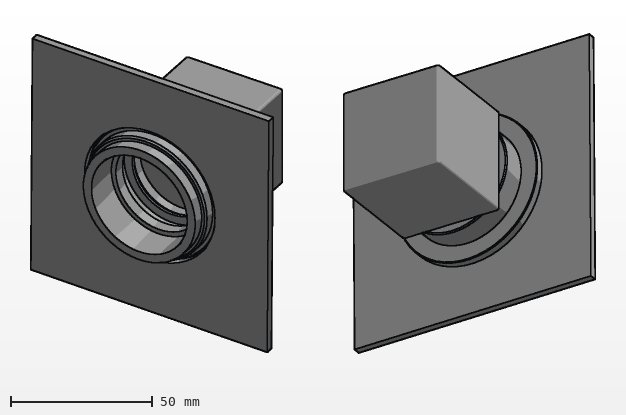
import cadquery as cq
import math


overall_width = 98.7
plate_turn = 0.4
plate_side = overall_width / (math.cos(math.radians(plate_turn)) + math.sin(math.radians(plate_turn)))
plate_front = 7.0
plate_thickness = 3.0
plate_back = plate_front + plate_thickness
plate_hole_radius = 27.0

front_rim_radius = 23.2
front_rim_length = 4.3
neck_radius = 25.0
neck_chamfer = 0.7
pilot_radius = 26.4
pilot_front = 8.8
flange_radius = 29.1
flange_thickness = 3.4
flange_back = plate_back + flange_thickness
flange_chamfer = 0.3
barrel_radius = 22.5
barrel_chamfer = 0.5
ring_length = 23.1

front_bore_radius = 19.8
front_bore_depth = 13.3
lip_radius = 18.0
lip_back = 17.8
chamber_back = 21.9
aperture_radius = 16.5

box_side = 40.0
box_gap = 1.1
box_front = ring_length + box_gap
box_back = box_front + box_side
box_edge_radius = 1.0
recess_radius = 17.1
recess_depth = 3.9
dish_depth = 0.3


def make_plate():
    """Square plate with a round clearance hole for the neck of the lens ring."""
    plate = cq.Workplane("XZ", origin=(0, plate_back, 0)).rect(plate_side, plate_side)
    plate = plate.circle(plate_hole_radius).extrude(plate_thickness)
    return plate.rotate((0, 0, 0), (0, 1, 0), plate_turn)


def make_lens_ring():
    """Flanged ring turned about the optical axis, with a stepped bore and an inner chamber."""
    profile = (
        cq.Workplane("XY")
        .moveTo(front_bore_radius, 0)
        .lineTo(front_rim_radius, 0)
        .lineTo(front_rim_radius, front_rim_length)
        .lineTo(neck_radius - neck_chamfer, front_rim_length)
        .lineTo(neck_radius, front_rim_length + neck_chamfer)
        .lineTo(neck_radius, pilot_front)
        .lineTo(pilot_radius, pilot_front)
        .lineTo(pilot_radius, plate_back)
        .lineTo(flange_radius, plate_back)
        .lineTo(flange_radius, flange_back - flange_chamfer)
        .lineTo(flange_radius - flange_chamfer, flange_back)
        .lineTo(barrel_radius, flange_back)
        .lineTo(barrel_radius, ring_length - barrel_chamfer)
        .lineTo(barrel_radius - barrel_chamfer, ring_length)
        .lineTo(aperture_radius, ring_length)
        .lineTo(aperture_radius, chamber_back)
        .lineTo(front_bore_radius, chamber_back)
        .lineTo(front_bore_radius, lip_back)
        .lineTo(lip_radius, lip_back)
        .lineTo(lip_radius, front_bore_depth)
        .lineTo(front_bore_radius, front_bore_depth)
        .close()
    )
    return profile.revolve(360, (0, 0, 0), (0, 1, 0))


def make_recess_cutter():
    """Round recess whose floor is a shallow spherical dish."""
    floor = box_front + recess_depth
    dish_radius = (recess_radius**2 + dish_depth**2) / (2 * dish_depth)
    mid_radius = recess_radius / 2
    mid_sag = dish_depth - dish_radius + math.sqrt(dish_radius**2 - mid_radius**2)
    profile = (
        cq.Workplane("XY")
        .moveTo(0, box_front)
        .lineTo(recess_radius, box_front)
        .lineTo(recess_radius, floor)
        .threePointArc((mid_radius, floor + mid_sag), (0, floor + dish_depth))
        .close()
    )
    return profile.revolve(360, (0, 0, 0), (0, 1, 0))


def make_camera_box():
    """Cube behind the lens ring, rounded on all edges except those of its front face."""
    box = cq.Workplane("XZ", origin=(0, box_back, 0)).rect(box_side, box_side).extrude(box_side)
    box = box.edges("|Y or >Y").fillet(box_edge_radius)
    return box.cut(make_recess_cutter())


plate = make_plate()
lens_ring = make_lens_ring()
camera_box = make_camera_box()

result = cq.Compound.makeCompound([plate.val(), lens_ring.val(), camera_box.val()])